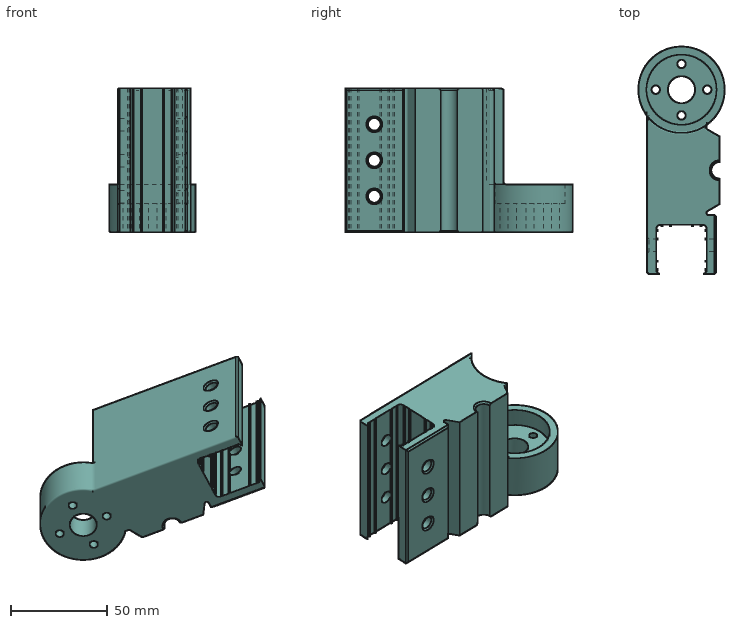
import cadquery as cq
import math

height = 75.0
hub_height = 25.0
hub_radius = 22.5
front_y = -96.0
wall_x = 18.0
pad_x = 19.8
chamfer = 1.0
edge_round = 1.0

pocket_diameter = 36.5
floor_thickness = 15.0
shaft_hole_diameter = 14.0
bolt_hole_diameter = 4.3
bolt_circle_radius = 13.4
bolt_count = 4
neck_blend_radius = 3.8

pad_center_y = -41.9
pad_half_length = 17.7
undercut_edge = 23.2
undercut_angle = 30
undercut_radius = 1.1
groove_radius = 4.3

slot_half = 13.0
slot_center_y = -83.4
slot_back_y = slot_center_y + slot_half
slot_corner_radius = 2.0
lip_reach = 1.5
rib_width = 0.7
rib_height = 0.7
rib_offsets = (-10.1, -5.8, 5.8, 10.1)

screw_y = -80.8
screw_count = 3
screw_spacing = height / (screw_count + 1)
screw_diameter = 6.5
screw_mouth_diameter = 8.3


def polar(center, radius, degrees):
    """Point on a circle."""
    angle = math.radians(degrees)
    return (center[0] + radius * math.cos(angle), center[1] + radius * math.sin(angle))


def make_body():
    """Full-height block with the side pad, reaching back to the hub axis."""
    slope = math.radians(undercut_angle)
    sharp_root_x = pad_x - (undercut_edge - pad_half_length) / math.tan(slope)
    root_x = sharp_root_x + undercut_radius / math.tan(slope / 2)
    root_offset = undercut_edge - undercut_radius
    front_root = (root_x, pad_center_y - root_offset)
    back_root = (root_x, pad_center_y + root_offset)
    back_wall_x = root_x - undercut_radius

    front_touch = 90 + undercut_angle
    back_touch = 270 - undercut_angle
    front_middle = (front_touch + 270) / 2
    back_middle = (back_touch + 180) / 2

    return (
        cq.Workplane("XY")
        .moveTo(-wall_x, 0)
        .lineTo(-wall_x, front_y + chamfer)
        .lineTo(-wall_x + chamfer, front_y)
        .lineTo(wall_x - chamfer, front_y)
        .lineTo(wall_x, front_y + chamfer)
        .lineTo(wall_x, pad_center_y - undercut_edge - chamfer)
        .lineTo(wall_x - chamfer, pad_center_y - undercut_edge)
        .lineTo(root_x, pad_center_y - undercut_edge)
        .threePointArc(
            polar(front_root, undercut_radius, front_middle),
            polar(front_root, undercut_radius, front_touch),
        )
        .lineTo(pad_x, pad_center_y - pad_half_length)
        .lineTo(pad_x, pad_center_y + pad_half_length)
        .lineTo(*polar(back_root, undercut_radius, back_touch))
        .threePointArc(
            polar(back_root, undercut_radius, back_middle),
            polar(back_root, undercut_radius, 180),
        )
        .lineTo(back_wall_x, 0)
        .close()
        .extrude(height)
    )


def hub_clearance():
    """Space above the hub, with a fillet at its foot and a rounded top edge on the body."""
    foot_center = (hub_radius - edge_round, hub_height + edge_round)
    top_center = (hub_radius + edge_round, height - edge_round)
    return (
        cq.Workplane("XZ")
        .moveTo(0, hub_height)
        .lineTo(*polar(foot_center, edge_round, 270))
        .threePointArc(polar(foot_center, edge_round, 315), polar(foot_center, edge_round, 0))
        .lineTo(*polar(top_center, edge_round, 180))
        .threePointArc(polar(top_center, edge_round, 135), polar(top_center, edge_round, 90))
        .lineTo(0, height)
        .close()
        .revolve(360, (0, 0), (0, 1))
    )


def groove():
    """Half-round groove in the pad, with chamfered ends."""
    wide = groove_radius + chamfer
    return (
        cq.Workplane("XZ")
        .polyline([
            (0, 0),
            (wide, 0),
            (groove_radius, chamfer),
            (groove_radius, height - chamfer),
            (wide, height),
            (0, height),
        ])
        .close()
        .revolve(360, (0, 0), (0, 1))
        .translate((pad_x, pad_center_y, 0))
    )


def clamp_slot():
    """Square slot with rounded back corners and lips at the open end."""
    lip_y = front_y + lip_reach
    slot = (
        cq.Workplane("XY")
        .polyline([
            (-slot_half, slot_back_y),
            (slot_half, slot_back_y),
            (slot_half, lip_y),
            (slot_half - lip_reach, front_y),
            (-slot_half + lip_reach, front_y),
            (-slot_half, lip_y),
        ])
        .close()
        .extrude(height)
    )
    return slot.edges("|Z and >Y").fillet(slot_corner_radius)


def slot_ribs():
    """Fine ribs on the two side walls and the back wall of the slot."""
    depth = 2 * rib_height
    side_places = [
        (side * slot_half, slot_center_y + offset) for side in (-1, 1) for offset in rib_offsets
    ]
    back_places = [(offset, slot_back_y) for offset in rib_offsets]
    side_ribs = cq.Workplane("XY").pushPoints(side_places).rect(depth, rib_width).extrude(height)
    back_ribs = cq.Workplane("XY").pushPoints(back_places).rect(rib_width, depth).extrude(height)
    return side_ribs.union(back_ribs)


def clamp_screws():
    """Cross holes through both walls, opened out at the outer faces."""
    mouth_depth = (screw_mouth_diameter - screw_diameter) / 2
    mouth_radius = screw_mouth_diameter / 2
    screw_radius = screw_diameter / 2
    hole = (
        cq.Workplane("XY")
        .polyline([
            (-wall_x, 0),
            (-wall_x, mouth_radius),
            (-wall_x + mouth_depth, screw_radius),
            (wall_x - mouth_depth, screw_radius),
            (wall_x, mouth_radius),
            (wall_x, 0),
        ])
        .close()
        .revolve(360, (0, 0), (1, 0))
    )
    holes = cq.Workplane("XY")
    for index in range(screw_count):
        holes = holes.union(hole.translate((0, screw_y, (index + 1) * screw_spacing)))
    return holes


def hub_bores():
    """Open pocket, shaft hole and bolt holes of the hub."""
    pocket = (
        cq.Workplane("XY", origin=(0, 0, floor_thickness))
        .circle(pocket_diameter / 2)
        .extrude(hub_height - floor_thickness)
    )
    shaft_hole = cq.Workplane("XY").circle(shaft_hole_diameter / 2).extrude(hub_height)
    bolt_holes = (
        cq.Workplane("XY")
        .polarArray(bolt_circle_radius, 0, 360, bolt_count)
        .circle(bolt_hole_diameter / 2)
        .extrude(hub_height)
    )
    return pocket.union(shaft_hole).union(bolt_holes)


def near(x, y, z):
    """Select the edge whose centre is closest to a point."""
    return cq.selectors.NearestToPointSelector((x, y, z))


wall_mid_y = (front_y + pad_center_y - undercut_edge) / 2
slope_mid_y = pad_center_y + (pad_half_length + undercut_edge) / 2
body = make_body()
for end_z in (0, height):
    body = body.edges(near(wall_x, wall_mid_y, end_z)).chamfer(chamfer)
    body = body.edges(near(pad_x, slope_mid_y, end_z)).fillet(edge_round)
    body = body.edges(near(-wall_x, front_y / 2, end_z)).fillet(edge_round)

neck_y = -math.sqrt(hub_radius**2 - wall_x**2)
hub = cq.Workplane("XY").circle(hub_radius).extrude(hub_height).edges("<Z").fillet(edge_round)
part = body.union(hub)
part = part.edges(near(-wall_x, neck_y, hub_height / 2)).fillet(neck_blend_radius)

result = (
    part.cut(hub_clearance())
    .cut(groove())
    .cut(clamp_slot())
    .union(slot_ribs())
    .cut(hub_bores())
    .cut(clamp_screws())
)